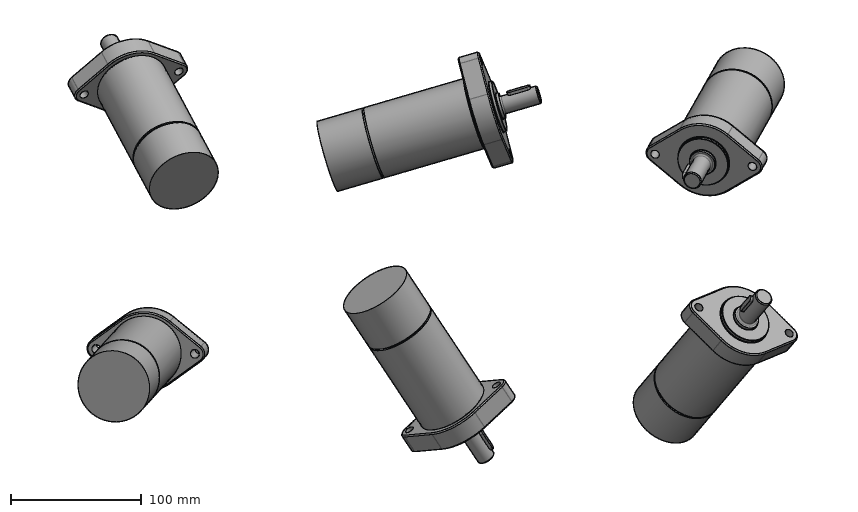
import cadquery as cq
import math

total_length = 169.2
shoulder_start = 29.6
pilot_start = 31.6
flange_start = 34.5
flange_end = 51.1
body_start = 52.1
groove_start = 131.8
groove_end = 133.2

shaft_diameter = 14.0
shoulder_diameter = 20.0
pilot_diameter = 40.0
body_diameter = 56.0
neck_diameter = 52.5

shaft_chamfer = 0.8
shaft_root_fillet = 1.4
pilot_chamfer = 0.3
pilot_flare = 0.5

clearance_diameter = 21.0
clearance_depth = 0.3

flange_width = 91.9
flange_height = 62.0
flange_chamfer = 1.0
ear_radius = 7.5
hole_diameter = 6.8

key_start = 4.7
key_length = 18.6
key_width = 5.0
key_top = 9.0

ear_offset = flange_width / 2 - ear_radius


def disc(start, end, diameter):
    """Cylinder on the X axis between two stations."""
    return cq.Workplane("YZ", origin=(start, 0, 0)).circle(diameter / 2).extrude(end - start)


def make_shaft():
    shaft = disc(0, flange_start, shaft_diameter).faces("<X").chamfer(shaft_chamfer)
    shoulder = disc(shoulder_start, flange_start, shoulder_diameter)
    nearest_face = cq.selectors.NearestToPointSelector((shoulder_start, 0, 0))
    shoulder_face = shaft.union(shoulder).faces(nearest_face)
    return shoulder_face.edges(cq.selectors.RadiusNthSelector(0)).fillet(shaft_root_fillet)


def make_key():
    return (
        cq.Workplane("XZ", origin=(key_start + key_length / 2, 0, 0))
        .slot2D(key_length, key_width)
        .extrude(-key_top)
    )


def make_flange():
    """Outline of straight sides tangent to the centre arc and the ear arcs."""
    centre_radius = flange_height / 2
    tangent_angle = math.asin((centre_radius - ear_radius) / ear_offset)
    normal_y = math.sin(tangent_angle)
    normal_z = math.cos(tangent_angle)
    centre_y = centre_radius * normal_y
    centre_z = centre_radius * normal_z
    ear_y = ear_offset + ear_radius * normal_y
    ear_z = ear_radius * normal_z

    flange = (
        cq.Workplane("YZ", origin=(flange_start, 0, 0))
        .moveTo(-centre_y, centre_z)
        .threePointArc((0, centre_radius), (centre_y, centre_z))
        .lineTo(ear_y, ear_z)
        .threePointArc((flange_width / 2, 0), (ear_y, -ear_z))
        .lineTo(centre_y, -centre_z)
        .threePointArc((0, -centre_radius), (-centre_y, -centre_z))
        .lineTo(-ear_y, -ear_z)
        .threePointArc((-flange_width / 2, 0), (-ear_y, ear_z))
        .close()
        .extrude(flange_end - flange_start)
    )
    flange = flange.faces("<X or >X").chamfer(flange_chamfer)
    holes = (
        cq.Workplane("YZ", origin=(flange_start, 0, 0))
        .pushPoints([(-ear_offset, 0), (ear_offset, 0)])
        .circle(hole_diameter / 2)
        .extrude(flange_end - flange_start)
    )
    return flange.cut(holes)


def make_housing():
    neck = disc(flange_end, groove_end, neck_diameter)
    gear_housing = disc(body_start, groove_start, body_diameter)
    end_housing = disc(groove_end, total_length, body_diameter)
    return neck.union(gear_housing).union(end_housing)


def make_pilot():
    """Pilot chamfered at its front rim and flared where it meets the flange."""
    pilot = disc(pilot_start, flange_start, pilot_diameter).faces("<X").chamfer(pilot_chamfer)
    flare = cq.Workplane(
        cq.Solid.makeCone(
            pilot_diameter / 2,
            pilot_diameter / 2 + pilot_flare,
            pilot_flare,
            pnt=cq.Vector(flange_start - pilot_flare, 0, 0),
            dir=cq.Vector(1, 0, 0),
        )
    )
    clearance = disc(pilot_start, pilot_start + clearance_depth, clearance_diameter)
    return pilot.union(flare).cut(clearance)


front_parts = make_pilot().union(make_flange()).union(make_shaft()).union(make_key())
result = front_parts.union(make_housing())